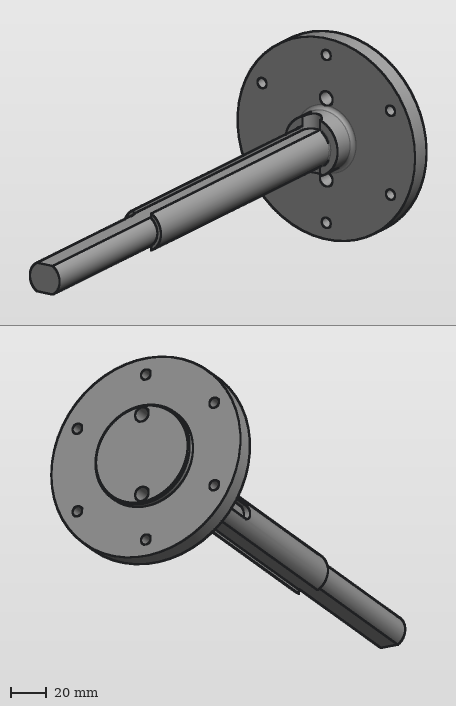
import cadquery as cq
import math

total_length = 305.0
pilot_length = 5.0
flange_thickness = 12.0
hub_length = 15.2
journal_length = 100.0

flange_radius = 120.0 / 2
pilot_radius = 30.0
hub_radius = 17.7
shaft_radius = 12.5
journal_radius = 10.0

pilot_chamfer = 1.0
hub_fillet = 2.5
shaft_fillet = 0.5

bolt_hole_diameter = 6.0
bolt_circle_radius = 50.0
bolt_count = 6
dowel_hole_diameter = 8.5
dowel_circle_radius = 24.0
dowel_count = 2

groove_width = 12.0
groove_floor = 8.5
groove_start = 26.2

keyway_width = 8.2
keyway_length = 33.2
keyway_start = 76.0
keyway_depth = 4.0

flange_front = pilot_length + flange_thickness
hub_front = flange_front + hub_length
shaft_end = total_length - journal_length


def turned_body():
    """Revolve the stepped half-profile about the Y axis, with its front facing -Y."""
    bend = math.sqrt(0.5)
    profile = (
        cq.Workplane("XY")
        .lineTo(pilot_radius - pilot_chamfer, 0)
        .lineTo(pilot_radius, -pilot_chamfer)
        .lineTo(pilot_radius, -pilot_length)
        .lineTo(flange_radius, -pilot_length)
        .lineTo(flange_radius, -flange_front)
        .lineTo(hub_radius + hub_fillet, -flange_front)
        .threePointArc(
            (hub_radius + hub_fillet * (1 - bend), -flange_front - hub_fillet * (1 - bend)),
            (hub_radius, -flange_front - hub_fillet),
        )
        .lineTo(hub_radius, -hub_front)
        .lineTo(shaft_radius + shaft_fillet, -hub_front)
        .threePointArc(
            (shaft_radius + shaft_fillet * (1 - bend), -hub_front - shaft_fillet * (1 - bend)),
            (shaft_radius, -hub_front - shaft_fillet),
        )
        .lineTo(shaft_radius, -shaft_end)
        .lineTo(journal_radius, -shaft_end)
        .lineTo(journal_radius, -total_length)
        .lineTo(0, -total_length)
        .close()
    )
    return profile.revolve(360, (0, 0, 0), (0, 1, 0))


def flange_holes(diameter, circle_radius, count):
    """Evenly spaced drills through the pilot and flange, the first one straight up."""
    return (
        cq.Workplane("XZ")
        .polarArray(circle_radius, 90, 360, count)
        .circle(diameter / 2)
        .extrude(flange_front + hub_fillet)
    )


def shaft_groove():
    """Upper groove, round at the hub end and running out through the shaft tip."""
    end_radius = groove_width / 2
    arc_centre = -groove_start - end_radius
    return (
        cq.Workplane("XY", origin=(0, 0, groove_floor))
        .moveTo(-end_radius, -total_length)
        .lineTo(-end_radius, arc_centre)
        .threePointArc((0, -groove_start), (end_radius, arc_centre))
        .lineTo(end_radius, -total_length)
        .close()
        .extrude(hub_radius)
    )


def keyway():
    """Round-ended pocket sunk into the -X side of the shaft."""
    centre = -keyway_start - keyway_length / 2
    return (
        cq.Workplane("YZ", origin=(-shaft_radius, centre, 0))
        .slot2D(keyway_length, keyway_width)
        .extrude(keyway_depth)
    )


result = turned_body()
result = result.cut(flange_holes(bolt_hole_diameter, bolt_circle_radius, bolt_count))
result = result.cut(flange_holes(dowel_hole_diameter, dowel_circle_radius, dowel_count))
upper_groove = shaft_groove()
result = result.cut(upper_groove).cut(upper_groove.mirror("XY"))
result = result.cut(keyway())